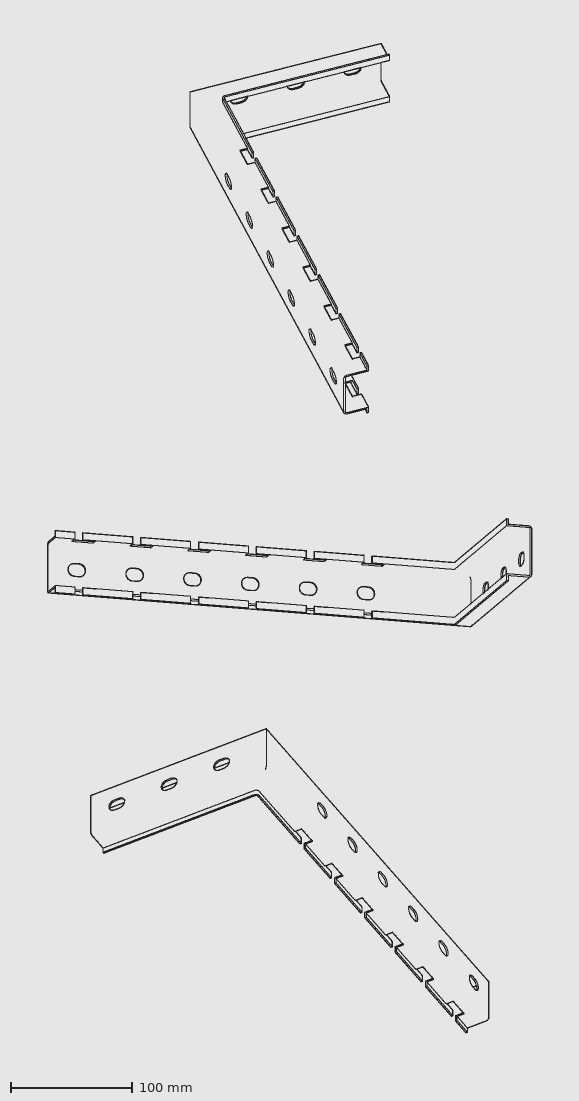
import cadquery as cq

long_leg_length = 367.0
short_leg_length = 168.0
overall_height = 53.0

sheet = 1.5
web_height = 44.0
channel_depth = 22.0
bend_radius = 3.0
lip_corner_radius = 3.0
inner_bend_radius = bend_radius - sheet
inner_lip_corner_radius = lip_corner_radius - sheet

slot_length = 15.0
slot_width = 11.0
slot_pitch = 50.0
slot_end_distance = 25.0
long_leg_slot_count = 6
short_leg_slot_count = 3

notch_length = 18.0
notch_depth = 6.5
lip_gap = 7.0
notch_end_offset = 8.0

lip_face = channel_depth - sheet
lip_height = (overall_height - web_height) / 2 + sheet


def corner_block(inset, height):
    """Rectangular block over the full footprint, set in from the two outer faces."""
    block_size = (long_leg_length - inset, short_leg_length - inset, height)
    block = cq.Workplane("XY").box(*block_size, centered=(False, False, True))
    return block.translate((inset, inset, 0))


def web_and_flanges():
    """Mitred L-shaped channel with rounded bends between web and flanges."""
    outer = corner_block(0, web_height)
    outer = outer.edges("(|X and <Y) or (|Y and <X)").fillet(bend_radius)
    cavity = corner_block(sheet, web_height - 2 * sheet)
    cavity = cavity.edges("(|X and <Y) or (|Y and <X)").fillet(inner_bend_radius)
    inside_of_l = corner_block(channel_depth, overall_height)
    return outer.cut(cavity).cut(inside_of_l)


def lips():
    """Upper and lower lips running around the inside of the L with a rounded corner."""
    outer = corner_block(lip_face, overall_height)
    outer = outer.edges("|Z and <X and <Y").fillet(lip_corner_radius)
    inner = corner_block(channel_depth, overall_height)
    inner = inner.edges("|Z and <X and <Y").fillet(inner_lip_corner_radius)
    opening_size = (2 * long_leg_length, 2 * short_leg_length, overall_height - 2 * lip_height)
    return outer.cut(inner).cut(cq.Workplane("XY").box(*opening_size))


def slot_positions(leg_length, count):
    """Distances of the slot centres from the outer corner, starting at the free end."""
    return [leg_length - slot_end_distance - i * slot_pitch for i in range(count)]


def web_slots(plane, positions):
    """Round-ended cutters that start on the outer face and pass through one web only."""
    centres = [(position, 0) for position in positions]
    cutters = cq.Workplane(plane).pushPoints(centres).slot2D(slot_length, slot_width)
    return cutters.extrude(sheet)


def flange_notch(slot_centre):
    """Flange cutout behind the lips, with a narrower gap through the lips at one end."""
    notch_end = slot_centre + notch_end_offset
    flange_cut = cq.Workplane("XY").box(
        notch_length, notch_depth, overall_height, centered=(False, False, True)
    )
    flange_cut = flange_cut.translate((notch_end - notch_length, lip_face - notch_depth, 0))
    lip_cut = cq.Workplane("XY").box(lip_gap, sheet, overall_height, centered=(False, False, True))
    return flange_cut.union(lip_cut.translate((notch_end - lip_gap, lip_face, 0)))


long_leg_slots = slot_positions(long_leg_length, long_leg_slot_count)
short_leg_slots = slot_positions(short_leg_length, short_leg_slot_count)
long_web_plane = cq.Plane(origin=(0, 0, 0), xDir=(1, 0, 0), normal=(0, 1, 0))
short_web_plane = cq.Plane(origin=(0, 0, 0), xDir=(0, 1, 0), normal=(1, 0, 0))

result = web_and_flanges().union(lips())
result = result.cut(web_slots(long_web_plane, long_leg_slots))
result = result.cut(web_slots(short_web_plane, short_leg_slots))
for slot_centre in long_leg_slots:
    result = result.cut(flange_notch(slot_centre))